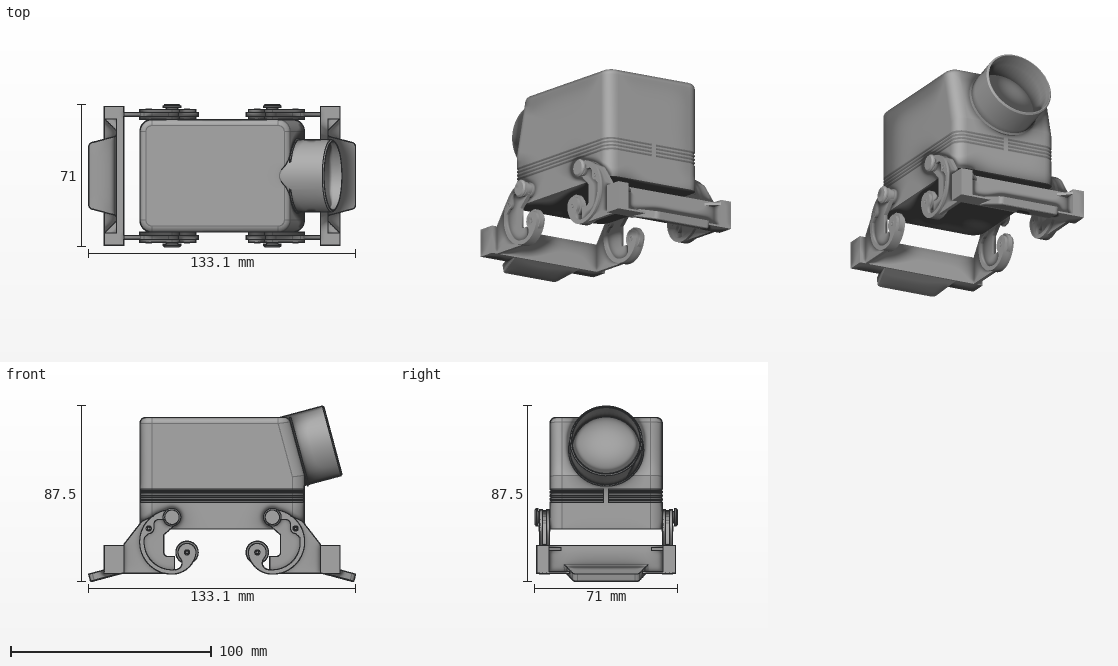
import cadquery as cq
import math

BODY_LENGTH = 82.0
BODY_WIDTH = 56.0
BODY_HEIGHT = 55.6
CORNER_RADIUS = 6.0
TOP_RADIUS = 3.0
SLOPE_ANGLE = math.radians(15)
SLOPE_START_Z = 26.8

GROOVE_COUNT = 4
GROOVE_FIRST_Z = 13.2
GROOVE_PITCH = 1.8
GROOVE_WIDTH = 1.4
GROOVE_DEPTH = 0.6
GROOVE_BRIDGE = 2.5
CUT_MARGIN = 2.0

ENTRY_RADIUS = 18.0
ENTRY_BORE_RADIUS = 17.0
ENTRY_HEIGHT = 18.0
ENTRY_END_X = 55.2
ENTRY_END_Z = 44.1
ENTRY_ROOT = 12.0
ENTRY_CHAMFER = 0.7
ENTRY_COLLAR = 0.75

PLATE_INNER_Y = 29.6
PLATE_THICKNESS = 2.0
LEVER_BOTTOM_Z = -22.1
THROAT_X = -29.05
THROAT_TOP_Z = -2.9
THROAT_Z = -13.6
THROAT_RADIUS = 2.0
JAW_X = -23.65
BEAK_X = -22.4
BEAK_Z = 3.0
PLATE_ROOT_TOP_Z = -7.6
SHOULDER_X = -40.0
SHOULDER_Z = 3.9
SHOULDER_RADIUS = 4.5
CREST_X = -35.0
CREST_Z = 6.2
PLATE_EYE_RADIUS = 3.3

RIM_THICKNESS = 5.0
RIM_X = -25.0
RIM_Z = -6.4
RIM_OUTER_RADIUS = 16.1
RIM_INNER_RADIUS = 13.9
HOOK_X = -17.5
HOOK_Z = -11.6
HOOK_RADIUS = 4.45
HOOK_FILLET = 3.4
ROLLER_RADIUS = 5.6

PIN_Z = 5.9
LOBE_RADIUS = 3.8
PIN_NECK_RADIUS = 2.9
PIN_HEAD_RADIUS = 4.4
PIN_HEAD_THICKNESS = 1.5
PIN_HEAD_CHAMFER = 0.8
PIN_END_Y = 35.5
PIN_EMBED = 2.0
RIVET_X = -36.55
RIVET_Z = 0.3
RIVET_RADIUS = 1.3
RIVET_HOLE_RADIUS = 0.7
RIVET_PROUD = 0.25
RIVET_HOLE_DEPTH = 0.5
PAD_RADIUS = 2.5
PAD_FILLET = 2.6
PAD_TOP_Z = 4.8
PAD_TAIL_ANGLE = math.radians(171)

BAR_OUTER_X = -58.75
BAR_INNER_X = -48.95
BAR_TOP_Z = -8.1
BAR_WIDTH = 69.2
BAR_BACK_WALL = 3.7
BAR_END_WALL = 6.2
BAR_FLOOR = 0.9
GUSSET_LEG = 5.9
GUSSET_THICKNESS = 1.3
GUSSET_DROP = 1.2

TAB_TIP_X = -66.535
TAB_TIP_Z = -22.43
TAB_THICKNESS = 4.0
TAB_TILT = math.radians(15)
TAB_TIP_WIDTH = 32.4
TAB_ROOT_WIDTH = 39.6
TAB_CORNER_RADIUS = 2.5
TAB_ROOT_FILLET = 1.4
TAB_EDGE = 0.4

SELECT_MARGIN = 0.01

RIM_MID_Y = PLATE_INNER_Y + PLATE_THICKNESS / 2
RIM_INNER_Y = RIM_MID_Y - RIM_THICKNESS / 2
BAR_HEIGHT = BAR_TOP_Z - LEVER_BOTTOM_Z
BAR_WALL_X = BAR_INNER_X - BAR_BACK_WALL


def rod(x, z, radius, y_start, length):
    """Cylinder along +Y from y_start."""
    return cq.Workplane("XZ", origin=(x, y_start, z)).circle(radius).extrude(-length)


def make_body():
    half = BODY_LENGTH / 2
    slope_top_x = half - (BODY_HEIGHT - SLOPE_START_Z) * math.tan(SLOPE_ANGLE)
    outline = [
        (-half, 0),
        (half, 0),
        (half, SLOPE_START_Z),
        (slope_top_x, BODY_HEIGHT),
        (-half, BODY_HEIGHT),
    ]
    block = cq.Workplane("XZ").polyline(outline).close().extrude(BODY_WIDTH / 2, both=True)
    upright_edges = block.edges("not (|X or |Y)")
    return upright_edges.fillet(CORNER_RADIUS).faces(">Z").edges().fillet(TOP_RADIUS)


def body_slice(z, inset):
    """Rounded rectangular outline of the body on a horizontal plane, shrunk by inset."""
    sketch = (
        cq.Sketch()
        .rect(BODY_LENGTH - 2 * inset, BODY_WIDTH - 2 * inset)
        .vertices()
        .fillet(CORNER_RADIUS - inset)
    )
    return cq.Workplane("XY", origin=(0, 0, z)).placeSketch(sketch)


def make_groove(z):
    """V-shaped ring to cut away, with its lower edge at height z."""
    half_width = GROOVE_WIDTH / 2
    taper = math.degrees(math.atan2(GROOVE_DEPTH, half_width))
    slab = cq.Workplane("XY", origin=(0, 0, z + half_width)).box(
        BODY_LENGTH + CUT_MARGIN, BODY_WIDTH + CUT_MARGIN, GROOVE_WIDTH
    )
    lower_core = body_slice(z, 0).extrude(half_width, taper=taper)
    upper_core = lower_core.mirror("XY", (0, 0, z + half_width))
    bridge = cq.Workplane("XY", origin=(0, 0, z + half_width)).box(
        BODY_LENGTH + CUT_MARGIN, GROOVE_BRIDGE, GROOVE_WIDTH
    )
    return slab.cut(lower_core).cut(upper_core).cut(bridge)


def entry_plane(distance_from_end):
    """Plane across the cable entry; its normal points out along the entry axis."""
    axis = (math.cos(SLOPE_ANGLE), 0, math.sin(SLOPE_ANGLE))
    origin = (
        ENTRY_END_X - distance_from_end * axis[0],
        0,
        ENTRY_END_Z - distance_from_end * axis[2],
    )
    return cq.Workplane(cq.Plane(origin=origin, xDir=(0, 1, 0), normal=axis))


def make_entry():
    length = ENTRY_HEIGHT + ENTRY_ROOT
    tube = entry_plane(length).circle(ENTRY_RADIUS).extrude(length)
    outer_end = entry_plane(0).val()
    tube = tube.edges(cq.NearestToPointSelector(outer_end.toTuple())).chamfer(ENTRY_CHAMFER)
    collar = (
        entry_plane(ENTRY_HEIGHT)
        .circle(ENTRY_RADIUS + ENTRY_COLLAR)
        .workplane(offset=ENTRY_COLLAR)
        .circle(ENTRY_RADIUS)
        .loft()
    )
    below_top = cq.Workplane("XY").box(
        2 * BODY_LENGTH, BODY_WIDTH, BODY_HEIGHT, centered=(True, True, False)
    )
    return tube.union(collar.intersect(below_top))


def make_hood():
    hood = make_body()
    for index in range(GROOVE_COUNT):
        hood = hood.cut(make_groove(GROOVE_FIRST_Z + index * GROOVE_PITCH))
    hood = hood.union(make_entry())
    bore = entry_plane(ENTRY_HEIGHT).circle(ENTRY_BORE_RADIUS).extrude(ENTRY_HEIGHT)
    return hood.cut(bore)


def make_plate():
    outline = [
        (BAR_INNER_X, LEVER_BOTTOM_Z),
        (BAR_INNER_X, PLATE_ROOT_TOP_Z),
        (SHOULDER_X, SHOULDER_Z),
        (CREST_X, CREST_Z),
        (RIM_X, PIN_Z + PLATE_EYE_RADIUS),
        (RIM_X, PIN_Z),
        (BEAK_X, BEAK_Z),
        (THROAT_X, THROAT_TOP_Z),
        (THROAT_X, THROAT_Z),
        (JAW_X, THROAT_Z),
        (JAW_X, LEVER_BOTTOM_Z),
    ]
    plate = (
        cq.Workplane("XZ", origin=(0, PLATE_INNER_Y, 0))
        .polyline(outline)
        .close()
        .extrude(-PLATE_THICKNESS)
    )
    throat_edge = cq.NearestToPointSelector((THROAT_X, RIM_MID_Y, THROAT_Z))
    shoulder_edge = cq.NearestToPointSelector((SHOULDER_X, RIM_MID_Y, SHOULDER_Z))
    plate = plate.edges(throat_edge).fillet(THROAT_RADIUS)
    plate = plate.edges(shoulder_edge).fillet(SHOULDER_RADIUS)
    return plate.union(rod(RIM_X, PIN_Z, PLATE_EYE_RADIUS, PLATE_INNER_Y, PLATE_THICKNESS))


def toward(start, end, distance):
    """Point at a distance from start in the direction of end."""
    share = distance / math.dist(start, end)
    return (start[0] + share * (end[0] - start[0]), start[1] + share * (end[1] - start[1]))


def make_rim():
    centre = (RIM_X, RIM_Z)
    hook = (HOOK_X, HOOK_Z)
    bottom_z = RIM_Z - RIM_OUTER_RADIUS

    across = HOOK_X - RIM_X
    rise = HOOK_Z - bottom_z
    shank_radius = (across**2 + rise**2 - HOOK_RADIUS**2) / (2 * (rise - HOOK_RADIUS))
    shank_centre = (RIM_X, bottom_z + shank_radius)
    hook_touch = toward(shank_centre, hook, shank_radius)
    shank_mid = (
        RIM_X + shank_radius * math.sin(math.pi / 4),
        shank_centre[1] - shank_radius * math.cos(math.pi / 4),
    )

    span = math.dist(centre, hook)
    to_centre = RIM_INNER_RADIUS - HOOK_FILLET
    to_hook = HOOK_RADIUS + HOOK_FILLET
    along = (span**2 + to_centre**2 - to_hook**2) / (2 * span)
    offset = math.sqrt(to_centre**2 - along**2)
    unit = ((HOOK_X - RIM_X) / span, (HOOK_Z - RIM_Z) / span)
    fillet_centre = (
        RIM_X + along * unit[0] + offset * unit[1],
        RIM_Z + along * unit[1] - offset * unit[0],
    )
    fillet_start = toward(hook, fillet_centre, HOOK_RADIUS)
    fillet_end = toward(centre, fillet_centre, RIM_INNER_RADIUS)

    pad_edge_x = RIVET_X + PAD_RADIUS
    diagonal = math.sqrt(0.5)
    pad_lower = (RIVET_X, RIVET_Z - PAD_RADIUS)
    inner_top = (
        RIM_X + RIM_INNER_RADIUS * math.cos(PAD_TAIL_ANGLE),
        RIM_Z + RIM_INNER_RADIUS * math.sin(PAD_TAIL_ANGLE),
    )
    rim = (
        cq.Workplane("XZ", origin=(0, RIM_INNER_Y, 0))
        .moveTo(RIM_X, RIM_Z + RIM_OUTER_RADIUS)
        .threePointArc((RIM_X - RIM_OUTER_RADIUS, RIM_Z), (RIM_X, bottom_z))
        .threePointArc(shank_mid, hook_touch)
        .threePointArc((HOOK_X, HOOK_Z + HOOK_RADIUS), fillet_start)
        .threePointArc((fillet_centre[0] + HOOK_FILLET, fillet_centre[1]), fillet_end)
        .threePointArc((RIM_X - RIM_INNER_RADIUS * diagonal, RIM_Z - RIM_INNER_RADIUS * diagonal), inner_top)
        .lineTo(*pad_lower)
        .threePointArc(
            (RIVET_X + PAD_RADIUS * diagonal, RIVET_Z - PAD_RADIUS * diagonal), (pad_edge_x, RIVET_Z)
        )
        .lineTo(pad_edge_x, PAD_TOP_Z - PAD_FILLET)
        .threePointArc(
            (pad_edge_x + PAD_FILLET * (1 - diagonal), PAD_TOP_Z - PAD_FILLET * (1 - diagonal)),
            (pad_edge_x + PAD_FILLET, PAD_TOP_Z),
        )
        .lineTo(RIM_X, PAD_TOP_Z)
        .close()
        .extrude(-RIM_THICKNESS)
    )
    rim = rim.union(rod(RIM_X, PIN_Z, LOBE_RADIUS, RIM_INNER_Y, RIM_THICKNESS))

    slot = cq.Workplane("XY").box(
        2 * RIM_OUTER_RADIUS, PLATE_THICKNESS, 2 * RIM_OUTER_RADIUS, centered=(True, True, False)
    )
    rim = rim.cut(slot.translate((RIM_X - RIM_OUTER_RADIUS / 2, RIM_MID_Y, RIM_Z)))
    roller = rod(HOOK_X, HOOK_Z, ROLLER_RADIUS, PLATE_INNER_Y, PLATE_THICKNESS)
    return rim.union(roller)


def make_pin():
    """Pivot pin running from inside the body to its chamfered head."""
    neck_start = BODY_WIDTH / 2 - PIN_EMBED
    neck = rod(RIM_X, PIN_Z, PIN_NECK_RADIUS, neck_start, PIN_END_Y - PIN_HEAD_THICKNESS / 2 - neck_start)
    head = rod(RIM_X, PIN_Z, PIN_HEAD_RADIUS, PIN_END_Y - PIN_HEAD_THICKNESS, PIN_HEAD_THICKNESS)
    return neck.union(head.faces(">Y").chamfer(PIN_HEAD_CHAMFER))


def add_rivet(arm, x, z):
    """Rivet through the rim, dimpled in both heads."""
    length = RIM_THICKNESS + 2 * RIVET_PROUD
    start = RIM_INNER_Y - RIVET_PROUD
    rivet = rod(x, z, RIVET_RADIUS, start, length)
    inner_hole = rod(x, z, RIVET_HOLE_RADIUS, start, RIVET_HOLE_DEPTH)
    outer_hole = rod(x, z, RIVET_HOLE_RADIUS, start + length - RIVET_HOLE_DEPTH, RIVET_HOLE_DEPTH)
    return arm.union(rivet).cut(inner_hole).cut(outer_hole)


def make_side_arm():
    arm = make_plate().union(make_rim()).union(make_pin())
    arm = add_rivet(arm, RIVET_X, RIVET_Z)
    return add_rivet(arm, HOOK_X, HOOK_Z)


def make_gusset():
    """Triangular web in the upper corner between back wall and end wall."""
    corner_y = BAR_WIDTH / 2 - BAR_END_WALL
    top_z = BAR_TOP_Z - GUSSET_DROP
    outline = [
        (BAR_WALL_X, corner_y),
        (BAR_WALL_X - GUSSET_LEG, corner_y),
        (BAR_WALL_X, corner_y - GUSSET_LEG),
    ]
    return cq.Workplane("XY", origin=(0, 0, top_z)).polyline(outline).close().extrude(-GUSSET_THICKNESS)


def make_tab():
    slope = math.tan(TAB_TILT)
    sink = LEVER_BOTTOM_Z - TAB_TIP_Z + TAB_THICKNESS / math.cos(TAB_TILT)
    wall_reach = (BAR_WALL_X - TAB_TIP_X) / math.cos(TAB_TILT)
    full_reach = sink / slope / math.cos(TAB_TILT) - TAB_THICKNESS * slope
    top_plane = cq.Plane(
        origin=(TAB_TIP_X, 0, TAB_TIP_Z),
        xDir=(math.cos(TAB_TILT), 0, math.sin(TAB_TILT)),
        normal=(-math.sin(TAB_TILT), 0, math.cos(TAB_TILT)),
    )
    outline = [
        (0, -TAB_TIP_WIDTH / 2),
        (wall_reach, -TAB_ROOT_WIDTH / 2),
        (full_reach, -TAB_ROOT_WIDTH / 2),
        (full_reach, TAB_ROOT_WIDTH / 2),
        (wall_reach, TAB_ROOT_WIDTH / 2),
        (0, TAB_TIP_WIDTH / 2),
    ]
    tab = cq.Workplane(top_plane).polyline(outline).close().extrude(-TAB_THICKNESS)
    tab = tab.edges(cq.selectors.ParallelDirSelector(top_plane.zDir)).edges("<X").fillet(TAB_CORNER_RADIUS)
    tip_bottom = (TAB_TIP_X + TAB_THICKNESS * math.sin(TAB_TILT), 0, TAB_TIP_Z - TAB_THICKNESS)
    return tab.edges(cq.NearestToPointSelector(tip_bottom)).chamfer(TAB_EDGE)


def bar_box(x_start, x_end, y_centre, width, height):
    """Box standing on the underside of the crossbar."""
    box = cq.Workplane("XY").box(x_end - x_start, width, height, centered=(False, True, False))
    return box.translate((x_start, y_centre, LEVER_BOTTOM_Z))


def make_crossbar():
    back_wall = bar_box(BAR_WALL_X, BAR_INNER_X, 0, BAR_WIDTH, BAR_HEIGHT)
    floor = bar_box(BAR_OUTER_X, BAR_WALL_X, 0, BAR_WIDTH, BAR_FLOOR)
    tab_top_z = TAB_TIP_Z + (BAR_WALL_X - TAB_TIP_X) * math.tan(TAB_TILT)
    tab_root = cq.selectors.BoxSelector(
        (BAR_WALL_X - SELECT_MARGIN, -TAB_ROOT_WIDTH, LEVER_BOTTOM_Z),
        (BAR_WALL_X + SELECT_MARGIN, TAB_ROOT_WIDTH, tab_top_z + SELECT_MARGIN),
    )
    bar = back_wall.union(make_tab())
    bar = bar.edges(tab_root).edges("not <Z").fillet(TAB_ROOT_FILLET)
    end_wall_y = (BAR_WIDTH - BAR_END_WALL) / 2
    end_wall = bar_box(BAR_OUTER_X, BAR_WALL_X, end_wall_y, BAR_END_WALL, BAR_HEIGHT)
    for detail in (end_wall, make_gusset()):
        bar = bar.union(detail).union(detail.mirror("XZ"))
    return bar.union(floor)


def make_lever():
    arm = make_side_arm()
    return make_crossbar().union(arm).union(arm.mirror("XZ"))


lever = make_lever()
result = make_hood().union(lever).union(lever.mirror("YZ"))